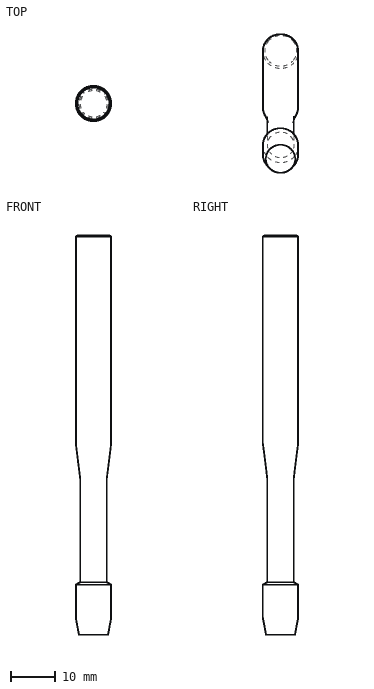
import cadquery as cq

total_length = 90.0
shank_diameter = 8.0
shank_length = 47.0
shank_chamfer = 0.4

neck_diameter = 6.0
taper_length = 8.0

head_diameter = 8.0
head_length = 11.85
shoulder_height = 0.55
tip_diameter = 6.6
lead_length = 3.75

shank_bottom = total_length - shank_length
neck_top = shank_bottom - taper_length


def revolved(profile):
    """Solid turned about Z from (radius, height) points that start and end on the axis."""
    return cq.Workplane("XZ").polyline(profile).close().revolve(360, (0, 0, 0), (0, 1, 0))


def make_shank():
    """Chamfered shank, its taper and the neck, ending flat on top of the head."""
    shank_radius = shank_diameter / 2
    neck_radius = neck_diameter / 2
    return revolved([
        (0, head_length),
        (neck_radius, head_length),
        (neck_radius, neck_top),
        (shank_radius, shank_bottom),
        (shank_radius, total_length - shank_chamfer),
        (shank_radius - shank_chamfer, total_length),
        (0, total_length),
    ])


def make_head():
    """Cylindrical head with a tapered lead at the tip and a shoulder that slopes up to the neck."""
    head_radius = head_diameter / 2
    return revolved([
        (0, 0),
        (tip_diameter / 2, 0),
        (head_radius, lead_length),
        (head_radius, head_length - shoulder_height),
        (neck_diameter / 2, head_length),
        (0, head_length),
    ])


shank = make_shank()
head = make_head()

result = cq.Compound.makeCompound([shank.val(), head.val()])